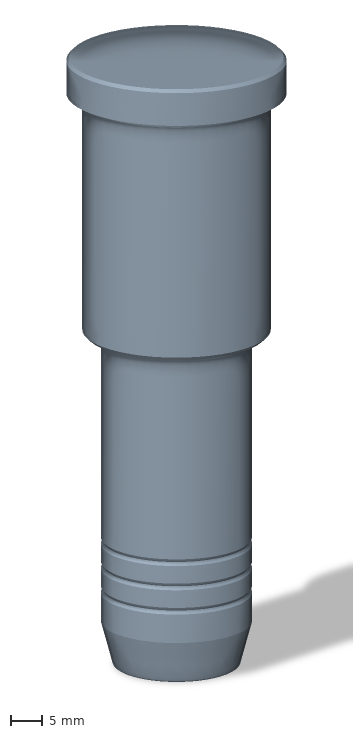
import cadquery as cq
import math

total_height = 101.0
head_height = 6.0
body_bottom = 55.0
taper_height = 7.2

head_radius = 35.0 / 2
body_radius = 30.0 / 2
pin_radius = 24.0 / 2

head_chamfer = 0.5
body_chamfer = 0.6
tip_fillet = 0.5
taper_angle = 15.0
relief_depth = 0.5
relief_width = 1.0

groove_count = 3
groove_pitch = 4.0
groove_width = 1.1
groove_depth = 0.4
lowest_groove_bottom = 11.9

head_bottom = total_height - head_height
tip_radius = pin_radius - taper_height * math.tan(math.radians(taper_angle))


def cylinder(radius, bottom, top):
    """Solid cylinder on the Z axis between two heights."""
    return cq.Workplane("XY").workplane(offset=bottom).circle(radius).extrude(top - bottom)


def relief_cut(shaft_radius, bottom):
    """Square-sided ring that cuts a relief into a shaft of the given radius."""
    core = cylinder(shaft_radius - relief_depth, bottom, bottom + relief_width)
    return cylinder(shaft_radius, bottom, bottom + relief_width).cut(core)


def v_groove_cut(shaft_radius, bottom):
    """Triangular ring that cuts a V groove into a shaft of the given radius."""
    return (
        cq.Workplane("XZ")
        .moveTo(shaft_radius, bottom)
        .lineTo(shaft_radius - groove_depth, bottom + groove_width / 2)
        .lineTo(shaft_radius, bottom + groove_width)
        .close()
        .revolve(360, (0, 0, 0), (0, 1, 0))
    )


def make_head():
    return cylinder(head_radius, head_bottom, total_height).faces(">Z").chamfer(head_chamfer)


def make_body():
    """Middle step with a chamfered lower edge and a V groove under the head."""
    body = cylinder(body_radius, body_bottom, head_bottom).faces("<Z").chamfer(body_chamfer)
    return body.cut(v_groove_cut(body_radius, head_bottom - groove_width))


def make_pin():
    """Lower step with a tapered tip, ring grooves and a relief under the body."""
    pin = cylinder(pin_radius, taper_height, body_bottom)
    taper = (
        cq.Workplane("XY")
        .circle(tip_radius)
        .extrude(taper_height, taper=-taper_angle)
        .faces("<Z")
        .fillet(tip_fillet)
    )
    pin = pin.union(taper)
    pin = pin.cut(relief_cut(pin_radius, body_bottom - relief_width))
    for index in range(groove_count):
        groove_bottom = lowest_groove_bottom + index * groove_pitch
        pin = pin.cut(v_groove_cut(pin_radius, groove_bottom))
    return pin


result = make_pin().union(make_body()).union(make_head())